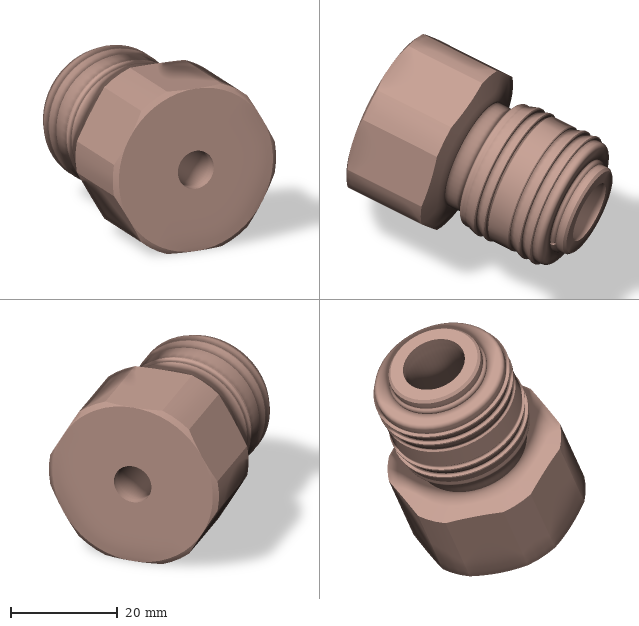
import cadquery as cq
import math

length = 43.5
shoulder_x = 2.95
band_start_x = 9.87
band_end_x = 14.5
collar_end_x = 21.05
hex_start_x = 25.1

nose_r = 18.0 / 2
collar_r = 25.4 / 2
groove_r = 25.0 / 2
barb_r = 26.65 / 2
band_r = 26.0 / 2
neck_r = 21.5 / 2

nose_chamfer = 0.5
collar_fillet = 0.8
band_chamfer = 0.17

barb_pitch = 2.3
rear_barb_pitch = 2.2
barb_crest = 0.45
barb_bevel_width = 0.15
barb_bevel_depth = 0.25
first_barb_x = 4.9
second_barb_x = first_barb_x + barb_pitch
third_barb_x = 14.9
fourth_barb_x = third_barb_x + rear_barb_pitch
front_taper_end_x = 9.65
rear_taper_end_x = 19.5

ring_r = 9.55
ring_wire_r = 0.75
ring_x = 2.7
ring_gap = 0.85

across_flats = 32.0
across_corners = across_flats / math.cos(math.pi / 6)
corner_diameter = 33.97
front_cone_r = 11.05
front_cone_depth = 1.6
rear_cone_r = across_flats / 2
rear_cone_depth = 0.65

bore_diameter = 7.5
counterbore_diameter = 12.1
counterbore_depth = 21.75


def make_ribbed_body():
    """Revolve the nose, ribbed collar and neck about the X axis."""
    profile = (
        cq.Workplane("XY")
        .lineTo(0, nose_r - nose_chamfer)
        .lineTo(nose_chamfer, nose_r)
        .lineTo(shoulder_x, nose_r)
        .lineTo(shoulder_x, collar_r - collar_fillet)
        .radiusArc((shoulder_x + collar_fillet, collar_r), collar_fillet)
        .lineTo(first_barb_x, collar_r)
    )

    def add_barb(outline, start_x, end_x, end_r):
        return (
            outline.lineTo(start_x, barb_r - barb_bevel_depth)
            .lineTo(start_x + barb_bevel_width, barb_r)
            .lineTo(start_x + barb_crest, barb_r)
            .lineTo(end_x, end_r)
        )

    profile = add_barb(profile, first_barb_x, second_barb_x, groove_r)
    profile = add_barb(profile, second_barb_x, front_taper_end_x, groove_r)
    profile = (
        profile.lineTo(band_start_x, groove_r)
        .lineTo(band_start_x, band_r - band_chamfer)
        .lineTo(band_start_x + band_chamfer, band_r)
        .lineTo(band_end_x - band_chamfer, band_r)
        .lineTo(band_end_x, band_r - band_chamfer)
        .lineTo(band_end_x, groove_r)
        .lineTo(third_barb_x, groove_r)
    )
    profile = add_barb(profile, third_barb_x, fourth_barb_x, groove_r)
    profile = add_barb(profile, fourth_barb_x, rear_taper_end_x, collar_r)
    profile = (
        profile.lineTo(collar_end_x - collar_fillet, collar_r)
        .radiusArc((collar_end_x, collar_r - collar_fillet), collar_fillet)
        .lineTo(collar_end_x, neck_r)
        .lineTo(hex_start_x, neck_r)
        .lineTo(hex_start_x, 0)
        .close()
    )
    return profile.revolve(360, (0, 0, 0), (1, 0, 0))


def make_snap_ring():
    """Round-wire ring, split on the +Y side."""
    ring = (
        cq.Workplane("XY")
        .center(ring_x, ring_r - ring_wire_r)
        .circle(ring_wire_r)
        .revolve(360, (0, ring_wire_r - ring_r, 0), (1, ring_wire_r - ring_r, 0))
    )
    gap = cq.Workplane("XY").box(shoulder_x * 2, ring_r, ring_gap).translate((shoulder_x, ring_r, 0))
    return ring.cut(gap)


def make_hex_head():
    """Hexagon with flats facing +Z and -Z, its corners turned round and its ends coned."""
    head_length = length - hex_start_x
    hexagon = (
        cq.Workplane("YZ", origin=(hex_start_x, 0, 0))
        .polygon(6, across_corners)
        .extrude(head_length)
    )
    corner_r = corner_diameter / 2
    envelope = (
        cq.Workplane("XY")
        .moveTo(hex_start_x, 0)
        .lineTo(hex_start_x, front_cone_r)
        .lineTo(hex_start_x + front_cone_depth, corner_r)
        .lineTo(length - rear_cone_depth, corner_r)
        .lineTo(length, rear_cone_r)
        .lineTo(length, 0)
        .close()
        .revolve(360, (0, 0, 0), (1, 0, 0))
    )
    return hexagon.intersect(envelope)


def make_bore():
    """Through bore with a deep counterbore from the nose end."""
    through = cq.Workplane("YZ").circle(bore_diameter / 2).extrude(length)
    counterbore = cq.Workplane("YZ").circle(counterbore_diameter / 2).extrude(counterbore_depth)
    return through.union(counterbore)


result = make_ribbed_body().union(make_snap_ring()).union(make_hex_head()).cut(make_bore())